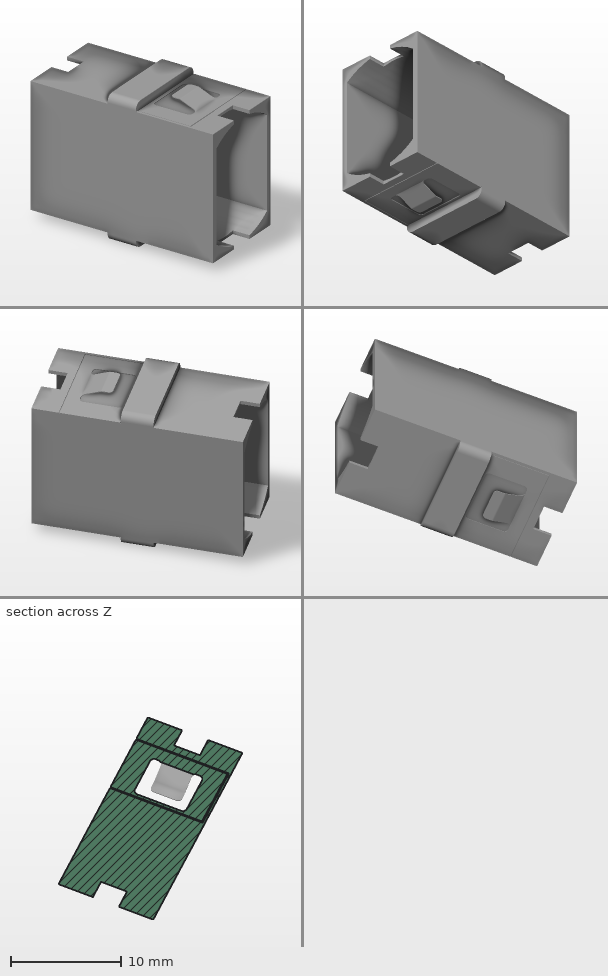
import cadquery as cq

length = 19.86
width = 9.45
body_height = 13.03
body_top = body_height / 2

bore_half_width = 4.17
bore_half_height = 6.25
bore_side_half_height = 4.85

notch_depth = 1.8
notch_width = 2.55

collar_length = 3.08
collar_top = 7.39
collar_radius = 0.75

sheet = 0.08
clearance = 0.05
pocket_start = collar_length / 2
pocket_end = 7.35
pocket_front = -4.47

window_start = 1.93
window_end = 6.04
window_half_width = 2.56
tongue_tip = 3.18
tongue_half_width = 1.53
corner_radius = 0.38

tongue_top = body_top + 0.73
bend_x = 4.21
bend_radius = 0.35


def box(x_start, x_end, y_start, y_end, z_start, z_end):
    """Block between two opposite corners."""
    size = (x_end - x_start, y_end - y_start, z_end - z_start)
    return cq.Workplane("XY").box(*size, centered=False).translate((x_start, y_start, z_start))


def both_sides(top_shape):
    """The shape together with its mirror image below the XY plane."""
    return top_shape.union(top_shape.mirror("XY"))


def make_sleeve():
    """Hollow body with the four end notches."""
    bore = (
        cq.Workplane("YZ")
        .moveTo(-bore_half_width, -bore_side_half_height)
        .threePointArc((0, -bore_half_height), (bore_half_width, -bore_side_half_height))
        .lineTo(bore_half_width, bore_side_half_height)
        .threePointArc((0, bore_half_height), (-bore_half_width, bore_side_half_height))
        .close()
        .extrude(length / 2, both=True)
    )
    sleeve = cq.Workplane("XY").box(length, width, body_height).cut(bore)
    for end in (-1, 1):
        notch = cq.Workplane("XY").box(2 * notch_depth, notch_width, body_height)
        sleeve = sleeve.cut(notch.translate((end * length / 2, 0, 0)))
    return sleeve


def make_collar():
    """Top band with rounded long edges, standing on the body."""
    half_length = collar_length / 2
    band = box(-half_length, half_length, -width / 2, width / 2, body_top, collar_top)
    return band.edges("|X and >Z").fillet(collar_radius)


def make_pocket():
    """Shallow recess one sheet deep in the top face."""
    return box(pocket_start, pocket_end, pocket_front, width / 2, body_top - sheet, body_top)


def make_clip():
    """Flush sheet plate with its tongue bent up out of the window."""
    plate_bottom = body_top - sheet
    plate = box(
        pocket_start + clearance, pocket_end - clearance,
        pocket_front + clearance, width / 2,
        plate_bottom, body_top,
    )

    window = box(
        window_start, window_end, -window_half_width, window_half_width, plate_bottom, tongue_top
    )
    blank = box(
        tongue_tip, window_end, -tongue_half_width, tongue_half_width, plate_bottom, tongue_top
    )
    slot = window.cut(blank).edges("|Z").fillet(corner_radius)
    window = window.edges("|Z").fillet(corner_radius)

    bent_strip = (
        cq.Workplane("XZ")
        .moveTo(tongue_tip, tongue_top)
        .lineTo(bend_x, tongue_top)
        .lineTo(window_end, body_top)
        .lineTo(window_end, plate_bottom)
        .lineTo(bend_x, tongue_top - sheet)
        .lineTo(tongue_tip, tongue_top - sheet)
        .close()
        .extrude(window_half_width, both=True)
    )
    bend_edge = cq.selectors.NearestToPointSelector((bend_x, 0, tongue_top))
    bent_strip = bent_strip.edges("|Y").edges(bend_edge).fillet(bend_radius)
    inner_bend_edge = cq.selectors.NearestToPointSelector((bend_x, 0, tongue_top - sheet))
    bent_strip = bent_strip.edges("|Y").edges(inner_bend_edge).fillet(bend_radius - sheet)

    tongue = bent_strip.intersect(window.cut(slot))
    return plate.cut(window).union(tongue)


result = (
    make_sleeve()
    .union(both_sides(make_collar()))
    .cut(both_sides(make_pocket()))
    .union(both_sides(make_clip()))
)